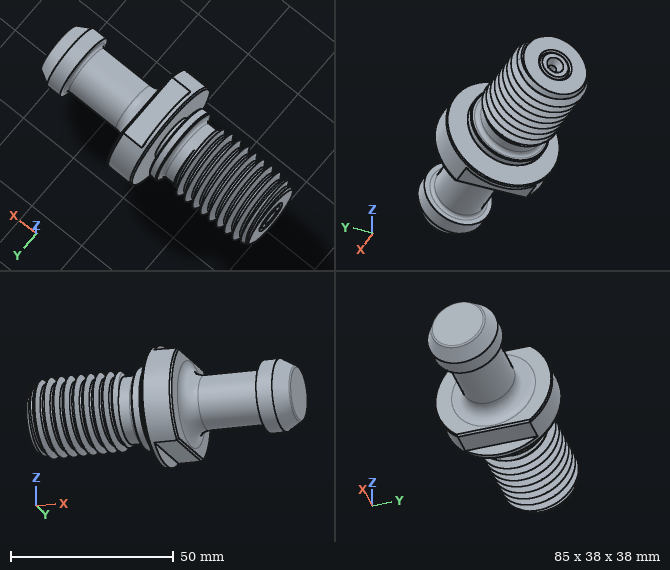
import cadquery as cq
import math


length = 85.0
relief_start = 29.9
collar_start = 34.85
collar_end = 37.8
flange_start = 40.0
flange_end = 50.0
head_start = 74.9
head_cone_start = 80.1

core_radius = 10.6
collar_radius = 13.2
neck_radius = 7.6
flange_diameter = 38.0
flange_radius = flange_diameter / 2
shank_radius = 8.6
head_radius = 11.5

relief_fillet = 1.45
collar_chamfer = 0.3
flange_front_chamfer = (0.6, 0.25)
flange_back_chamfer = (0.7, 0.25)
shank_fillet = 5.0
head_fillet = 1.1
head_cone_angle = 30.0
head_tip_fillet = 0.7

flat_half_width = 15.0
flat_start = 42.0
flat_chamfer = 0.6
flat_cut_radius = flange_radius + 0.85

thread_radius = 12.75
pitch = 2 * thread_radius / 8
flank_angle = 30.0
lead_in_angle = 30.0
crest_at_top = 5.7
root_overlap = 0.2

countersink_radius = 2.7
countersink_angle = 30.0
pilot_radius = 1.4
pilot_depth = 3.4
drill_point_angle = 59.0
groove_outer_radius = 5.5
groove_inner_radius = 4.3
groove_depth = 0.6

half_arc = math.sqrt(0.5)


def tan_deg(angle):
    return math.tan(math.radians(angle))


def revolve_x(profile):
    return profile.close().revolve(360, (0, 0, 0), (1, 0, 0))


def add_rising_fillet(profile, end_x, low_radius, fillet):
    """Run along low_radius, then curve up to meet the wall at end_x."""
    middle = (end_x - fillet + fillet * half_arc, low_radius + fillet - fillet * half_arc)
    return profile.lineTo(end_x - fillet, low_radius).threePointArc(middle, (end_x, low_radius + fillet))


def add_falling_fillet(profile, start_x, low_radius, fillet):
    """Come down the wall at start_x, then curve out onto low_radius."""
    middle = (start_x + fillet - fillet * half_arc, low_radius + fillet - fillet * half_arc)
    end = (start_x + fillet, low_radius)
    return profile.lineTo(start_x, low_radius + fillet).threePointArc(middle, end)


def make_body():
    tip_radius = head_radius - (length - head_cone_start) * tan_deg(head_cone_angle)
    front_dx, front_dr = flange_front_chamfer
    back_dx, back_dr = flange_back_chamfer

    profile = cq.Workplane("XY").moveTo(0, 0).lineTo(0, core_radius)
    profile = add_rising_fillet(profile, collar_start, core_radius, relief_fillet)
    profile = (
        profile.lineTo(collar_start, collar_radius - collar_chamfer)
        .lineTo(collar_start + collar_chamfer, collar_radius)
        .lineTo(collar_end - collar_chamfer, collar_radius)
        .lineTo(collar_end, collar_radius - collar_chamfer)
        .lineTo(collar_end, neck_radius)
        .lineTo(flange_start, neck_radius)
        .lineTo(flange_start, flange_radius - front_dr)
        .lineTo(flange_start + front_dx, flange_radius)
        .lineTo(flange_end - back_dx, flange_radius)
        .lineTo(flange_end, flange_radius - back_dr)
    )
    profile = add_falling_fillet(profile, flange_end, shank_radius, shank_fillet)
    profile = add_rising_fillet(profile, head_start, shank_radius, head_fillet)
    profile = (
        profile.lineTo(head_start, head_radius)
        .lineTo(head_cone_start, head_radius)
        .lineTo(length, tip_radius)
        .lineTo(length, 0)
    )
    return revolve_x(profile).faces(">X").edges().fillet(head_tip_fillet)


def make_thread():
    """Sharp helical ridge, cut back by a lead-in cone and a run-out cone."""
    ridge_depth = thread_radius - core_radius + root_overlap
    half_base = ridge_depth * tan_deg(flank_angle)
    base_radius = core_radius - root_overlap
    start = crest_at_top - 3 * pitch
    helix = cq.Wire.makeHelix(
        pitch, relief_start + pitch - start, base_radius, cq.Vector(start, 0, 0), cq.Vector(1, 0, 0)
    )
    ridge = (
        cq.Workplane("XZ")
        .moveTo(start - half_base, base_radius)
        .lineTo(start, thread_radius)
        .lineTo(start + half_base, base_radius)
        .close()
        .sweep(cq.Workplane(obj=helix), isFrenet=True)
    )
    rise = thread_radius + root_overlap - core_radius
    envelope = (
        cq.Workplane("XY")
        .moveTo(0, 0)
        .lineTo(0, core_radius)
        .lineTo(rise / tan_deg(lead_in_angle), core_radius + rise)
        .lineTo(relief_start - rise, core_radius + rise)
        .lineTo(relief_start, core_radius)
        .lineTo(relief_start, 0)
    )
    return ridge.intersect(revolve_x(envelope))


def make_flat_cutter(side):
    flat = (
        cq.Workplane("XZ")
        .moveTo(flat_start, flat_half_width)
        .lineTo(flange_end - flat_chamfer, flat_half_width)
        .lineTo(flange_end, flat_half_width - flat_chamfer)
        .lineTo(flange_end, flat_cut_radius)
        .lineTo(flat_start, flat_cut_radius)
        .close()
        .extrude(flange_radius, both=True)
    )
    return flat if side > 0 else flat.mirror("XY")


def make_centre_hole():
    cone_depth = (countersink_radius - pilot_radius) / tan_deg(countersink_angle)
    pilot_end = cone_depth + pilot_depth
    return revolve_x(
        cq.Workplane("XY")
        .moveTo(0, 0)
        .lineTo(0, countersink_radius)
        .lineTo(cone_depth, pilot_radius)
        .lineTo(pilot_end, pilot_radius)
        .lineTo(pilot_end + pilot_radius / tan_deg(drill_point_angle), 0)
    )


def make_face_groove():
    middle = (groove_outer_radius + groove_inner_radius) / 2
    return revolve_x(
        cq.Workplane("XY")
        .moveTo(0, groove_inner_radius)
        .lineTo(groove_depth, middle)
        .lineTo(0, groove_outer_radius)
    )


result = make_body().union(make_thread())
for side in (1, -1):
    result = result.cut(make_flat_cutter(side))
result = result.cut(make_centre_hole()).cut(make_face_groove())